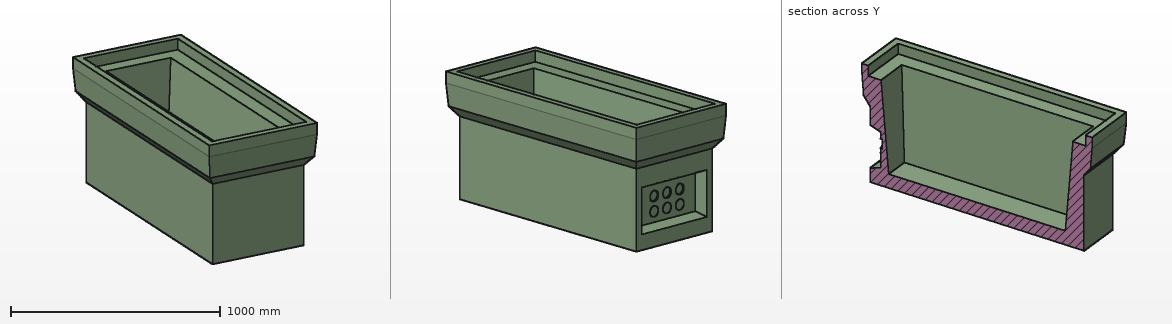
import cadquery as cq

length = 1322.0
width = 594.0
height = 637.0

band_height = 57.0
collar_height = 116.0
flare_height = 50.0
collar_inset = 9.0
body_length = 1227.0
body_width = 503.0
band_bottom = height - band_height
collar_bottom = band_bottom - collar_height
body_top = collar_bottom - flare_height

rim_wall = 38.0
rebate_depth = 57.0
ledge_height = height - rebate_depth
cavity_length = 1098.0
cavity_width = 356.0
cavity_inset = 44.0
floor_thickness = 80.0

recess_width = 430.0
recess_height = 234.0
recess_bottom = 80.0
recess_depth = 60.0
recess_inset = 20.0
recess_center_z = recess_bottom + recess_height / 2

knockout_diameter = 54.0
knockout_pitch_y = 85.0
knockout_center_y = -8.0
upper_row_z = 230.0
lower_row_z = 153.0
upper_row_depth = 8.0
lower_row_depth = 1.0


def block(size_x, size_y, bottom, top):
    """Upright rectangular block between two levels."""
    base = cq.Workplane("XY").workplane(offset=bottom)
    return base.rect(size_x, size_y).extrude(top - bottom)


def frustum(bottom_size, top_size, bottom, top):
    """Rectangular frustum between two levels."""
    base = cq.Workplane("XY").workplane(offset=bottom).rect(*bottom_size)
    return base.workplane(offset=top - bottom).rect(*top_size).loft(ruled=True)


def outer_shell():
    collar_foot = (length - 2 * collar_inset, width - 2 * collar_inset)
    body = block(body_length, body_width, 0, body_top)
    flare = frustum((body_length, body_width), collar_foot, body_top, collar_bottom)
    collar = frustum(collar_foot, (length, width), collar_bottom, band_bottom)
    band = block(length, width, band_bottom, height)
    return body.union(flare).union(collar).union(band)


def cavity():
    floor_size = (cavity_length - 2 * cavity_inset, cavity_width - 2 * cavity_inset)
    rebate = block(length - 2 * rim_wall, width - 2 * rim_wall, ledge_height, height)
    well = frustum(floor_size, (cavity_length, cavity_width), floor_thickness, ledge_height)
    return rebate.union(well)


def end_plane(depth):
    """Plane parallel to the -X end, at a depth inside it, with Y and Z as its axes."""
    return cq.Workplane("YZ", origin=(-body_length / 2 + depth, 0, 0))


def end_recess():
    mouth = end_plane(0).center(0, recess_center_z).rect(recess_width, recess_height)
    back = mouth.workplane(offset=recess_depth)
    back = back.rect(recess_width - 2 * recess_inset, recess_height - 2 * recess_inset)
    return back.loft(ruled=True)


def knockout_row(row_z, depth):
    centers = [(knockout_center_y + i * knockout_pitch_y, row_z) for i in (-1, 0, 1)]
    return end_plane(recess_depth).pushPoints(centers).circle(knockout_diameter / 2).extrude(depth)


result = outer_shell().cut(cavity()).cut(end_recess())
result = result.cut(knockout_row(upper_row_z, upper_row_depth))
result = result.cut(knockout_row(lower_row_z, lower_row_depth))